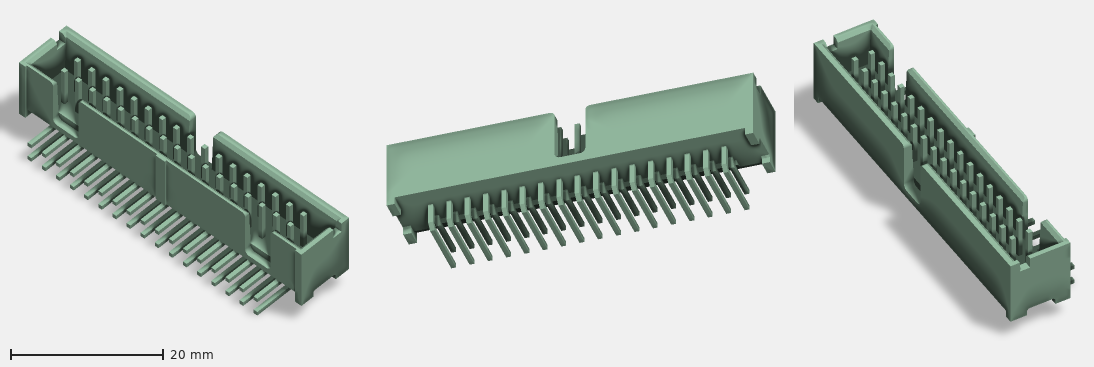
import cadquery as cq


length = 50.8
end_thickness = 1.1
end_depth = 9.15
end_height = 9.8
body_depth = 8.85
body_underside = 8.75
front_wall_height = 8.4
body_length = length - 2 * end_thickness

rear_foot_depth = 2.55
front_foot_depth = 2.3
foot_corner = 0.25
rib_height = 0.45
rib_length = 41.85
rib_bottom = body_underside + rib_height

floor_depth = 6.4
rear_wall_top = 1.2
front_wall_top = 0.75
wall_draft = 0.3
lead_in = 0.45

slot_fillet = 0.75
slot_rim_radius = 0.6
slot_depth = 7.5
front_slot_width = 4.55
front_slot_x = 17.25
key_slot_width = 4.25
notch_start = 1.4
notch_width = 1.6
notch_depth = 1.6

key_rib_width = 1.7

pitch = 2.55
columns = 17
pin_size = 0.65
pin_top = 0.35
rear_row_y = -3.3
front_row_y = rear_row_y - pitch
lead_tip_y = -12.55
lead_bottom = 12.45
outer_bend = 0.8
inner_bend = 0.45


def extrude_x(points, width, x_middle=0.0):
    """Extrude a (Y, Z) outline along X, centred on x_middle."""
    prism = cq.Workplane("YZ").polyline(points).close().extrude(width / 2, both=True)
    return prism.translate((x_middle, 0, 0))


def end_plate(x_middle):
    rear_inner = -rear_foot_depth
    front_inner = front_foot_depth - end_depth
    outline = [
        (0, 0),
        (-notch_start, 0),
        (-notch_start, -notch_depth),
        (-notch_start - notch_width, -notch_depth),
        (-notch_start - notch_width, 0),
        (-end_depth, 0),
        (-end_depth, -end_height),
        (front_inner, -end_height),
        (front_inner, -body_underside - foot_corner),
        (front_inner + foot_corner, -body_underside),
        (rear_inner - foot_corner, -body_underside),
        (rear_inner, -body_underside - foot_corner),
        (rear_inner, -end_height),
        (0, -end_height),
    ]
    return extrude_x(outline, end_thickness, x_middle)


rib_front_y = front_foot_depth - end_depth
underside_slope = (rib_bottom - front_wall_height) / (rib_front_y + body_depth)
slope_end_y = -body_depth + (body_underside - front_wall_height) / underside_slope


def body():
    shell = [
        (0, 0),
        (-body_depth, 0),
        (-body_depth, -front_wall_height),
        (slope_end_y, -body_underside),
        (0, -body_underside),
    ]
    underside_rib = [
        (slope_end_y, -body_underside),
        (rib_front_y, -rib_bottom),
        (rib_front_y + rib_height, -body_underside),
    ]
    return extrude_x(shell, body_length).union(extrude_x(underside_rib, rib_length))


def key_rib():
    bottom = front_wall_height - underside_slope * (end_depth - body_depth)
    outline = [
        (-end_depth, 0),
        (-body_depth, 0),
        (-body_depth, -front_wall_height),
        (-end_depth, -bottom),
    ]
    return extrude_x(outline, key_rib_width)


def cavity():
    outline = [
        (-rear_wall_top, 0),
        (front_wall_top - body_depth, 0),
        (front_wall_top + wall_draft - body_depth, -floor_depth),
        (-rear_wall_top - wall_draft, -floor_depth),
    ]
    return extrude_x(outline, body_length)


def mouth_lead_in():
    """Tapered cut that chamfers the rim all round the cavity."""
    depth = body_depth - rear_wall_top - front_wall_top
    middle_y = -rear_wall_top - depth / 2
    return (
        cq.Workplane("XY")
        .center(0, middle_y)
        .rect(body_length + 2 * lead_in, depth + 2 * lead_in)
        .workplane(offset=-lead_in)
        .rect(body_length, depth)
        .loft()
    )


def wall_slot(x_middle, width, y_limits):
    """Slot down through a long wall, with rounded corners at its bottom and at the rim."""
    half = width / 2
    rear_y = max(y_limits)
    thickness = rear_y - min(y_limits)
    outline = (
        cq.Workplane("XZ")
        .moveTo(-half - slot_rim_radius, 0)
        .radiusArc((-half, -slot_rim_radius), slot_rim_radius)
        .lineTo(-half, slot_fillet - slot_depth)
        .radiusArc((slot_fillet - half, -slot_depth), -slot_fillet)
        .lineTo(half - slot_fillet, -slot_depth)
        .radiusArc((half, slot_fillet - slot_depth), -slot_fillet)
        .lineTo(half, -slot_rim_radius)
        .radiusArc((half + slot_rim_radius, 0), slot_rim_radius)
        .close()
    )
    return outline.extrude(thickness).translate((x_middle, rear_y, 0))


def pin(x_middle, row_y, bottom):
    """Square pin bent through a right angle towards the front, mitred at the bend."""
    rear = row_y + pin_size / 2
    front = row_y - pin_size / 2
    lead_top = pin_size - bottom
    outline = [
        (front, -pin_top),
        (rear, -pin_top),
        (rear, outer_bend - bottom),
        (rear - outer_bend, -bottom),
        (lead_tip_y, -bottom),
        (lead_tip_y, lead_top),
        (front - inner_bend, lead_top),
        (front, lead_top + inner_bend),
    ]
    return extrude_x(outline, pin_size, x_middle)


housing = body().union(key_rib())
for side in (-1, 1):
    housing = housing.union(end_plate(side * (length - end_thickness) / 2))
housing = housing.cut(cavity()).cut(mouth_lead_in())

rear_wall = (-rear_wall_top - wall_draft, 0)
front_wall = (-body_depth, front_wall_top + wall_draft - body_depth)
housing = housing.cut(wall_slot(0, key_slot_width, rear_wall))
for side in (-1, 1):
    housing = housing.cut(wall_slot(side * front_slot_x, front_slot_width, front_wall))

result = housing
for column in range(columns):
    pin_x = (column - (columns - 1) / 2) * pitch
    result = result.union(pin(pin_x, rear_row_y, lead_bottom))
    result = result.union(pin(pin_x, front_row_y, lead_bottom - pitch))